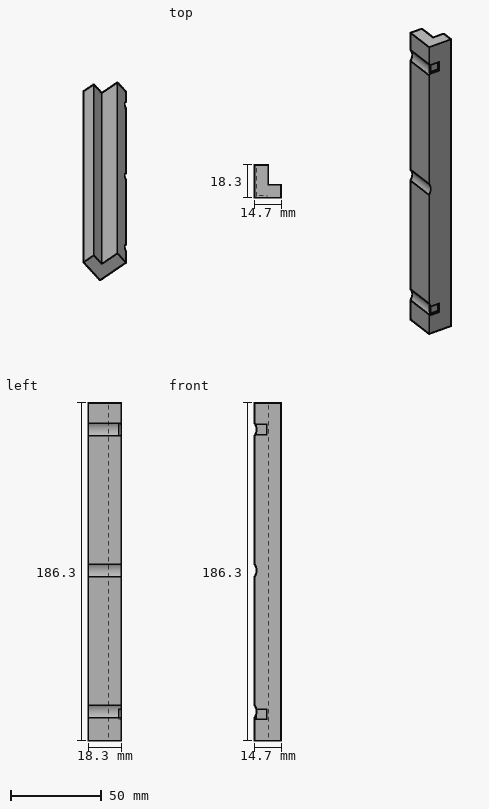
import cadquery as cq

length = 186.3
flange_width = 14.7
flange_thickness = 7.3
leg_thickness = 7.6
total_depth = 18.3

groove_chord = 7.0
groove_depth = 1.1
groove_pitch = 77.7
middle_groove_z = 93.9

pocket_width = 5.8
pocket_height = 5.5
pocket_depth = 1.5
pocket_center_x = groove_depth + pocket_width / 2
pocket_end_distance = 14.7
pocket_centers_z = [pocket_end_distance, length - pocket_end_distance]
plug_diameter = 3.2



def l_bar():
    """Flange along the -Y side fused to the leg standing behind it."""
    flange = cq.Workplane("XY").box(flange_width, flange_thickness, length, centered=False)
    leg = cq.Workplane("XY", origin=(0, flange_thickness, 0)).box(
        leg_thickness, total_depth - flange_thickness, length, centered=False
    )
    return flange.union(leg, clean=False)


def cut_groove(body, center_z):
    """Cut a circular-segment groove running along Y into the -X face."""
    half_chord = groove_chord / 2
    cutter = (
        cq.Workplane("XZ", origin=(0, total_depth, center_z))
        .moveTo(0, -half_chord)
        .threePointArc((groove_depth, 0), (0, half_chord))
        .close()
        .extrude(total_depth)
    )
    return body.cut(cutter, clean=False)


def cut_plugged_pocket(body, center_z):
    """Cut a pocket into the -Y face and fill the hole in its floor with a plug."""
    face = cq.Workplane("XZ", origin=(pocket_center_x, 0, center_z))
    pocket = face.rect(pocket_width, pocket_height).extrude(-pocket_depth)
    floor = face.workplane(offset=-pocket_depth)
    plug = floor.circle(plug_diameter / 2).extrude(pocket_depth - flange_thickness)
    drilled = body.cut(pocket, clean=False).cut(plug, clean=False)
    return drilled.union(plug, clean=False)


result = l_bar()
for step in (-1, 0, 1):
    result = cut_groove(result, middle_groove_z + step * groove_pitch)
for pocket_z in pocket_centers_z:
    result = cut_plugged_pocket(result, pocket_z)